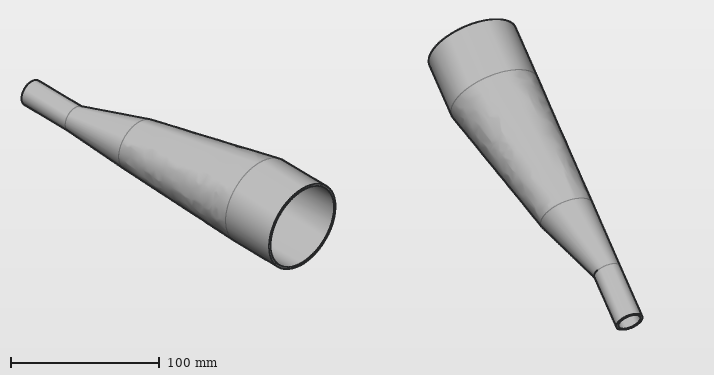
import cadquery as cq

total_length = 235.0
end_length = 41.4
small_taper_length = 50.7
small_diameter = 19.0
middle_diameter = 38.0
large_diameter = 63.5
wall = 1.6

small_taper_start = end_length
tapers_meet = small_taper_start + small_taper_length
large_taper_end = total_length - end_length

sections = [
    (0.0, small_diameter),
    (small_taper_start, small_diameter),
    (tapers_meet, middle_diameter),
    (large_taper_end, large_diameter),
    (total_length, large_diameter),
]


def section_wire(x, outer_diameter, inset):
    """Circle across X, its outer rim touching y = -large_diameter / 2."""
    center_y = (outer_diameter - large_diameter) / 2
    radius = outer_diameter / 2 - inset
    return cq.Wire.makeCircle(radius, cq.Vector(x, center_y, 0), cq.Vector(1, 0, 0))


def ruled_body(inset):
    """Solid through all sections, with every radius reduced by the inset."""
    wires = [section_wire(x, diameter, inset) for x, diameter in sections]
    return cq.Workplane(cq.Solid.makeLoft(wires, True))


outer_body = ruled_body(0.0)
bore = ruled_body(wall)
result = outer_body.cut(bore)